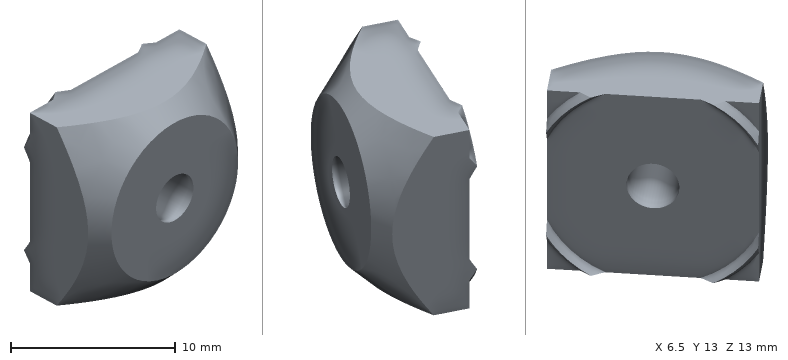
import cadquery as cq

side = 13.0
total_length = 6.5
ridge_height = 0.5
thickness = total_length - ridge_height
bore_diameter = 3.24

end_bevel = 1.0
end_face_radius = side / 2 - end_bevel
cone_reach = side

ridge_crest_radius = 7.5
ridge_half_width = 0.375


def square_block(start, length):
    """Square prism centred on the X axis, beginning at X = start."""
    return cq.Workplane("YZ").workplane(offset=start).rect(side, side).extrude(length)


def revolve_about_x(points):
    """Solid of revolution about X from (x, radius) profile points."""
    return cq.Workplane("XY").polyline(points).close().revolve(360, (0, 0, 0), (1, 0, 0))


def end_cone():
    """45 degree cone, narrowing to the end face radius at X = thickness."""
    return revolve_about_x([
        (thickness - cone_reach, 0),
        (thickness, 0),
        (thickness, end_face_radius),
        (thickness - cone_reach, end_face_radius + cone_reach),
    ])


def corner_ridges():
    """Triangular ring on the seating face, trimmed to the square outline."""
    ring = revolve_about_x([
        (0, ridge_crest_radius - ridge_half_width),
        (-ridge_height, ridge_crest_radius),
        (0, ridge_crest_radius + ridge_half_width),
    ])
    return ring.intersect(square_block(-ridge_height, ridge_height))


def bore():
    """Through hole along the X axis."""
    return cq.Workplane("YZ").circle(bore_diameter / 2).extrude(thickness)


body = square_block(0, thickness).intersect(end_cone())
result = body.union(corner_ridges()).cut(bore())